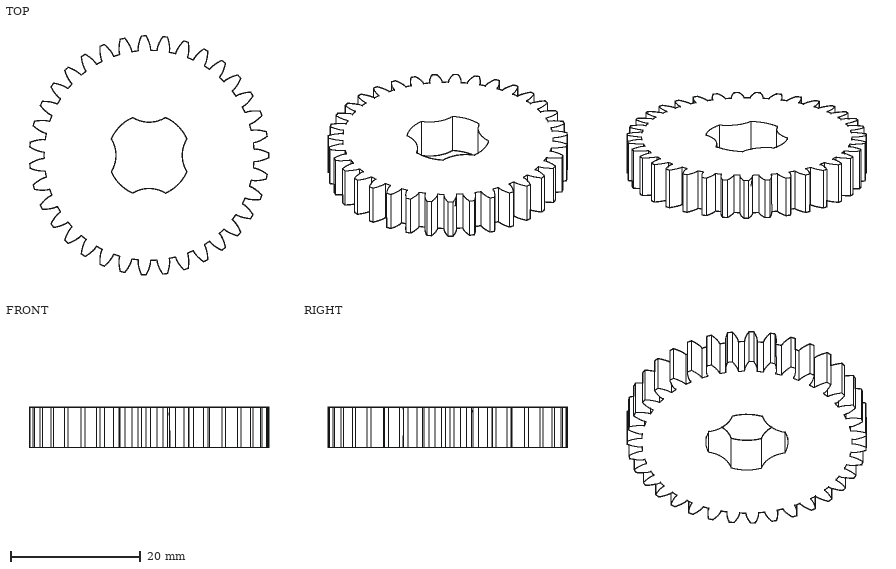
import cadquery as cq
import math

TOOTH_COUNT = 35
MODULE = 1.0
PRESSURE_ANGLE = math.radians(20)
FACE_WIDTH = 6.25
ADDENDUM = MODULE
DEDENDUM = 1.25 * MODULE

PITCH_RADIUS = MODULE * TOOTH_COUNT / 2
BASE_RADIUS = PITCH_RADIUS * math.cos(PRESSURE_ANGLE)
TIP_RADIUS = PITCH_RADIUS + ADDENDUM
ROOT_RADIUS = PITCH_RADIUS - DEDENDUM
FLANK_POINTS = 6

BORE_RADIUS = 6.35
LOBE_COUNT = 4
LOBE_INNER_REACH = 5.1
LOBE_RADIUS = 4.8


def involute_angle(radius):
    """Polar angle swept by the involute between the base circle and a radius."""
    roll = math.sqrt((radius / BASE_RADIUS) ** 2 - 1)
    return roll - math.atan(roll)


def flank_half_angle(radius):
    """Half of the angle that a tooth spans at a radius on its involute flank."""
    half_angle_at_pitch = math.pi / (2 * TOOTH_COUNT)
    return half_angle_at_pitch + involute_angle(PITCH_RADIUS) - involute_angle(radius)


def polar(radius, angle):
    return (radius * math.cos(angle), radius * math.sin(angle))


def make_blank():
    """Gear body with involute teeth, one of them centred on +X."""
    tooth_pitch = 2 * math.pi / TOOTH_COUNT
    root_half_angle = flank_half_angle(BASE_RADIUS)
    tip_half_angle = flank_half_angle(TIP_RADIUS)
    flank_step = (TIP_RADIUS - BASE_RADIUS) / (FLANK_POINTS - 1)
    flank_radii = [BASE_RADIUS + i * flank_step for i in range(FLANK_POINTS)]

    outline = cq.Workplane("XY").moveTo(*polar(ROOT_RADIUS, -root_half_angle))
    for tooth in range(TOOTH_COUNT):
        centre = tooth * tooth_pitch
        rising = [polar(r, centre - flank_half_angle(r)) for r in flank_radii]
        falling = [polar(r, centre + flank_half_angle(r)) for r in reversed(flank_radii)]
        next_root = centre + tooth_pitch - root_half_angle

        outline = outline.lineTo(*rising[0]).spline(rising[1:], includeCurrent=True)
        outline = outline.threePointArc(
            polar(TIP_RADIUS, centre), polar(TIP_RADIUS, centre + tip_half_angle)
        )
        outline = outline.spline(falling[1:], includeCurrent=True)
        outline = outline.lineTo(*polar(ROOT_RADIUS, centre + root_half_angle))

        outline = outline.threePointArc(
            polar(ROOT_RADIUS, centre + tooth_pitch / 2), polar(ROOT_RADIUS, next_root)
        )
    return outline.close().extrude(FACE_WIDTH)


def make_bore():
    """Through bore: a cylinder less one round lobe per side."""
    lobe_centre_distance = LOBE_INNER_REACH + LOBE_RADIUS
    lobes = (
        cq.Workplane("XY")
        .polarArray(lobe_centre_distance, 0, 360, LOBE_COUNT)
        .circle(LOBE_RADIUS)
        .extrude(FACE_WIDTH)
    )
    return cq.Workplane("XY").circle(BORE_RADIUS).extrude(FACE_WIDTH).cut(lobes)


result = make_blank().cut(make_bore())